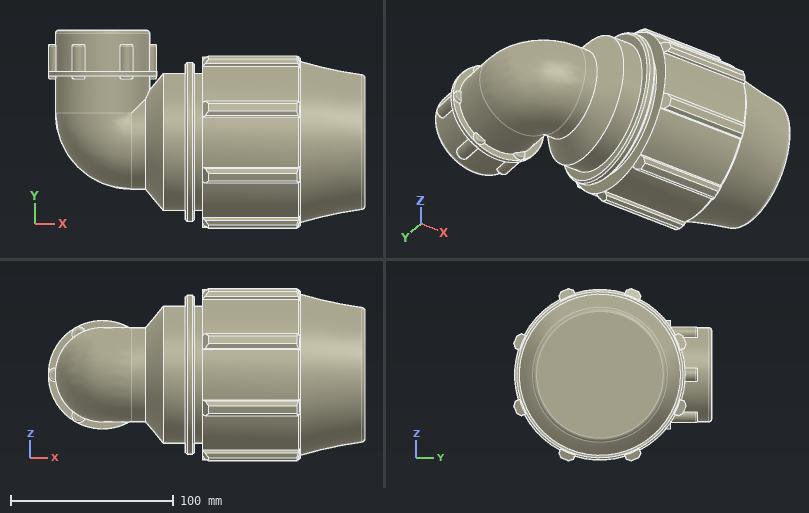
import cadquery as cq
import math


pipe_radius = 58.3 / 2
bend_radius = 18.0

cone_start = 26.5
cone_end = 37.5
barrel_radius = 84.75 / 2
collar_start = 51.0
collar_end = 56.7
collar_radius = 98.31 / 2
collar_chamfer = 1.3

nut_start = 61.6
nut_end = 122.2
nut_radius = 52.65
nut_chamfer = 1.4
taper_start_radius = 49.7
taper_middle_x = 141.0
taper_middle_radius = 44.9
taper_end_radius = 41.3
main_end = 162.0
main_end_fillet = 2.5

grip_count = 8
grip_outer_radius = 56.5
grip_top_width = 5.0
grip_shoulder_radius = 54.4
grip_width = 9.8
grip_start_chamfer = grip_outer_radius - nut_radius
grip_end_setback = 0.4
grip_end = nut_end - grip_end_setback
grip_end_slope_length = 2.0
grip_root_depth = 2.0

branch_end = 69.0
branch_fillet = 2.0
flange_start = 40.9
flange_end = 43.6
flange_radius = 67.04 / 2
branch_rib_count = 6
branch_rib_radius = 4.2
branch_rib_inset = 0.1
branch_rib_start = 38.9
branch_rib_end = 60.3
branch_rib_fillet = 1.2


def cylinder_x(radius, start, end):
    return cq.Workplane("YZ").workplane(offset=start).circle(radius).extrude(end - start)


def cylinder_y(radius, start, end):
    return cq.Workplane("XZ").workplane(offset=-start).circle(radius).extrude(start - end)


def make_bend():
    """Quarter turn; the tube is wider than the bend radius, so its section stops at the bend axis."""
    chord_half = math.sqrt(pipe_radius**2 - bend_radius**2)
    section = (
        cq.Workplane("XZ", origin=(0, bend_radius, 0))
        .moveTo(bend_radius, -chord_half)
        .threePointArc((-pipe_radius, 0), (bend_radius, chord_half))
        .close()
    )
    return section.revolve(90, (bend_radius, 0, 0), (bend_radius, 1, 0))


def make_main_arm():
    """Pipe, cone, barrel and tapered nut as one turned profile, plus the collar."""
    turned = (
        cq.Workplane("XY")
        .moveTo(bend_radius, 0)
        .lineTo(bend_radius, pipe_radius)
        .lineTo(cone_start, pipe_radius)
        .lineTo(cone_end, barrel_radius)
        .lineTo(nut_start, barrel_radius)
        .lineTo(nut_start, nut_radius)
        .lineTo(nut_end - nut_chamfer, nut_radius)
        .lineTo(nut_end, nut_radius - nut_chamfer)
        .lineTo(nut_end, taper_start_radius)
        .threePointArc((taper_middle_x, taper_middle_radius), (main_end, taper_end_radius))
        .lineTo(main_end, 0)
        .close()
        .revolve(360, (0, 0, 0), (1, 0, 0))
        .faces(">X")
        .edges()
        .fillet(main_end_fillet)
    )
    collar = cylinder_x(collar_radius, collar_start, collar_end).edges().chamfer(collar_chamfer)
    return turned.union(collar)


def make_grip_rib():
    """Straight-sided rib with bevelled shoulders along X on the +Z side of the nut, with both ends sloped."""
    root_z = nut_radius - grip_root_depth
    section = (
        cq.Workplane("YZ")
        .workplane(offset=nut_start)
        .polyline(
            [
                (-grip_width / 2, root_z),
                (-grip_width / 2, grip_shoulder_radius),
                (-grip_top_width / 2, grip_outer_radius),
                (grip_top_width / 2, grip_outer_radius),
                (grip_width / 2, grip_shoulder_radius),
                (grip_width / 2, root_z),
            ]
        )
        .close()
        .extrude(grip_end - nut_start)
    )
    side = (
        cq.Workplane("XZ")
        .moveTo(nut_start, root_z)
        .lineTo(nut_start, nut_radius)
        .lineTo(nut_start + grip_start_chamfer, grip_outer_radius)
        .lineTo(grip_end - grip_end_slope_length, grip_outer_radius)
        .lineTo(grip_end, nut_radius - nut_chamfer)
        .lineTo(grip_end, root_z)
        .close()
        .extrude(grip_width, both=True)
    )
    return section.intersect(side)


def make_branch_arm():
    """Socket tube with a flange and round ribs running through the flange."""
    arm = cylinder_y(pipe_radius, bend_radius, branch_end).faces(">Y").edges().fillet(branch_fillet)
    arm = arm.union(cylinder_y(flange_radius, flange_start, flange_end))
    rib_centre = flange_radius - branch_rib_inset - branch_rib_radius
    rib = (
        cylinder_y(branch_rib_radius, branch_rib_start, branch_rib_end)
        .edges()
        .fillet(branch_rib_fillet)
        .translate((rib_centre, 0, 0))
    )
    for index in range(branch_rib_count):
        arm = arm.union(rib.rotate((0, 0, 0), (0, 1, 0), index * 360 / branch_rib_count))
    return arm


def make_grip_ribs():
    """Ring of grip ribs, placed half a step away from the Z axis."""
    rib = make_grip_rib()
    step = 360 / grip_count
    return [rib.rotate((0, 0, 0), (1, 0, 0), (index + 0.5) * step) for index in range(grip_count)]


result = make_bend().union(make_main_arm()).union(make_branch_arm())
for grip_rib in make_grip_ribs():
    result = result.union(grip_rib)